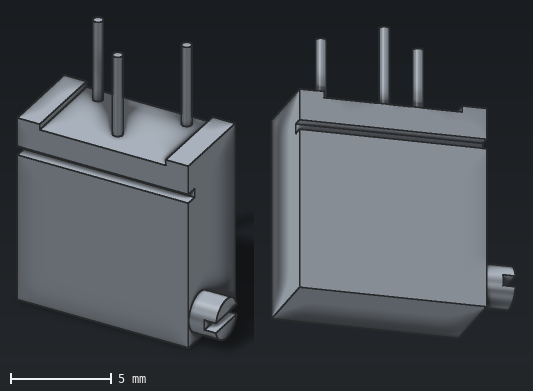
import cadquery as cq

body_length = 9.77
body_width = 4.83
body_height = 10.55
total_height = 14.81

rail_length = 1.29
recess_depth = 0.33

groove_bottom = 8.4
groove_height = 0.5
groove_depth = 0.65

pin_diameter = 0.53
pin_pitch = 2.53
pin_row_y = 4.07

screw_length = 1.53
screw_diameter = 2.22
screw_y = 1.15
screw_z = 1.54
slot_width = 0.56
slot_depth = 0.65


def block(x, y, z, length, width, height):
    """Box with its minimum corner at (x, y, z)."""
    return cq.Workplane("XY").box(length, width, height, centered=False).translate((x, y, z))


def make_body():
    recess_floor = body_height - recess_depth
    body = block(0, 0, 0, body_length, body_width, body_height)
    recess = block(rail_length, 0, recess_floor, body_length - 2 * rail_length, body_width, recess_depth)
    groove = block(0, 0, groove_bottom, body_length, groove_depth, groove_height)
    return body.cut(recess).cut(groove)


def make_pins():
    recess_floor = body_height - recess_depth
    middle_x = body_length / 2
    centers = [
        (middle_x - pin_pitch, pin_row_y),
        (middle_x, pin_row_y - pin_pitch),
        (middle_x + pin_pitch, pin_row_y),
    ]
    return (
        cq.Workplane("XY", origin=(0, 0, recess_floor))
        .pushPoints(centers)
        .circle(pin_diameter / 2)
        .extrude(total_height - recess_floor)
    )


def make_screw():
    screw = (
        cq.Workplane("YZ", origin=(body_length, screw_y, screw_z))
        .circle(screw_diameter / 2)
        .extrude(screw_length)
    )
    slot = block(
        body_length + screw_length - slot_depth,
        screw_y - screw_diameter / 2,
        screw_z - slot_width / 2,
        slot_depth,
        screw_diameter,
        slot_width,
    )
    return screw.cut(slot)


result = make_body().union(make_pins()).union(make_screw())